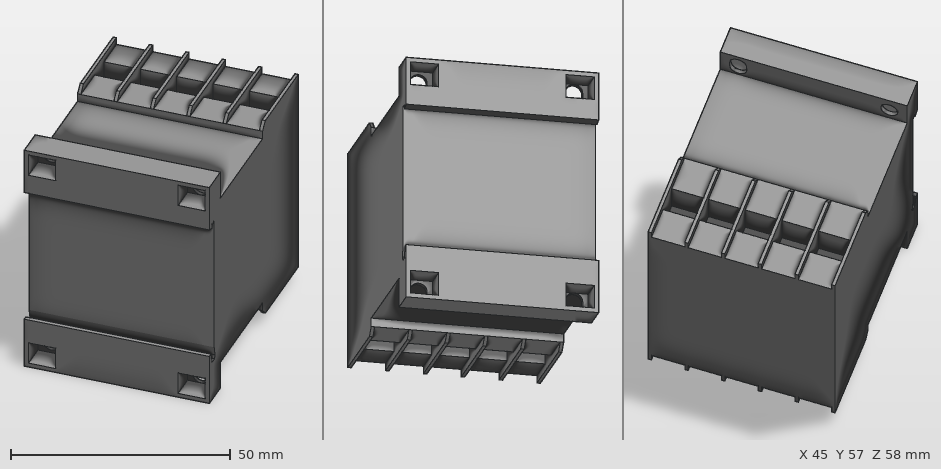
import cadquery as cq

width = 45.0
depth = 57.0
height = 58.0

flange_thickness = 7.1
body_height = 44.1

block_height = 51.75
block_front = 34.1
block_chamfer = 1.8

channel_depth = 3.15
channel_top = 18.1
tooth_tip_y = 1.6
tooth_tip_z = 17.05
tooth_root_y = 1.85
tooth_outer_z = 17.65
hook_top = -16.35
hook_tip_thickness = 1.05
groove_top = -15.8
groove_bottom = -18.9
groove_near_y = 1.8
groove_far_y = 3.3
groove_deepest_y = 3.65
groove_deepest_z = -18.1

bay_count = 5
divider_thickness = 0.8
bay_floor = block_height / 2 - block_chamfer
well_start = 43.0
well_end = 49.0
well_depth = 6.95

pocket_width = 6.55
pocket_height = 5.45
pocket_depth = 6.05
pocket_margin = 1.05
screw_hole_diameter = 4.05

pocket_x = width / 2 - pocket_margin - pocket_width / 2
pocket_z = height / 2 - pocket_margin - pocket_height / 2


def make_body():
    """Side profile in the YZ plane, extruded across the full width."""
    half_height = height / 2
    half_body = body_height / 2
    half_block = block_height / 2
    profile = [
        (0, -half_height),
        (flange_thickness, -half_height),
        (flange_thickness, -half_body),
        (block_front, -half_body),
        (block_front, -half_block + block_chamfer),
        (block_front + block_chamfer, -half_block),
        (depth, -half_block),
        (depth, half_block),
        (block_front + block_chamfer, half_block),
        (block_front, half_block - block_chamfer),
        (block_front, half_body),
        (flange_thickness, half_body),
        (flange_thickness, half_height),
        (0, half_height),
        (0, tooth_outer_z),
        (tooth_tip_y, tooth_tip_z),
        (tooth_root_y, channel_top),
        (channel_depth, channel_top),
        (channel_depth, groove_top),
        (groove_deepest_y, groove_deepest_z),
        (groove_far_y, groove_bottom),
        (groove_near_y, groove_bottom),
        (hook_tip_thickness, hook_top),
        (0, hook_top),
    ]
    return cq.Workplane("YZ").polyline(profile).close().extrude(width / 2, both=True)


def box_between(x_range, y_range, z_range):
    """Box from the low and high limits on each axis."""
    limits = (x_range, y_range, z_range)
    sizes = [high - low for low, high in limits]
    corner = [low for low, high in limits]
    return cq.Workplane("XY").box(*sizes, centered=False).translate(tuple(corner))


def make_bay(x_start, bay_width):
    """Upper bay: a shallow channel between dividers with a deeper well in its floor."""
    x_range = (x_start, x_start + bay_width)
    channel = box_between(x_range, (block_front, depth), (bay_floor, block_height / 2))
    well = box_between(x_range, (well_start, well_end), (bay_floor - well_depth, block_height / 2))
    return channel.union(well)


def cut_bays(part):
    """Equal bays separated by thin dividers, mirrored to the bottom of the block."""
    pitch = (width - divider_thickness) / bay_count
    for index in range(bay_count):
        x_start = -width / 2 + divider_thickness + index * pitch
        bay = make_bay(x_start, pitch - divider_thickness)
        part = part.cut(bay).cut(bay.mirror("XY"))
    return part


def cut_screw_pockets(part):
    """Rectangular pockets with round holes on the -X side and upright slots on the +X side."""
    for z in (-pocket_z, pocket_z):
        for x in (-pocket_x, pocket_x):
            mount = cq.Workplane("XZ").center(x, z)
            pocket = mount.rect(pocket_width, pocket_height).extrude(-pocket_depth)
            if x < 0:
                hole = mount.circle(screw_hole_diameter / 2).extrude(-flange_thickness)
            else:
                hole = mount.slot2D(pocket_height, screw_hole_diameter, 90).extrude(-flange_thickness)
            part = part.cut(pocket).cut(hole)
    return part


result = cut_screw_pockets(cut_bays(make_body()))